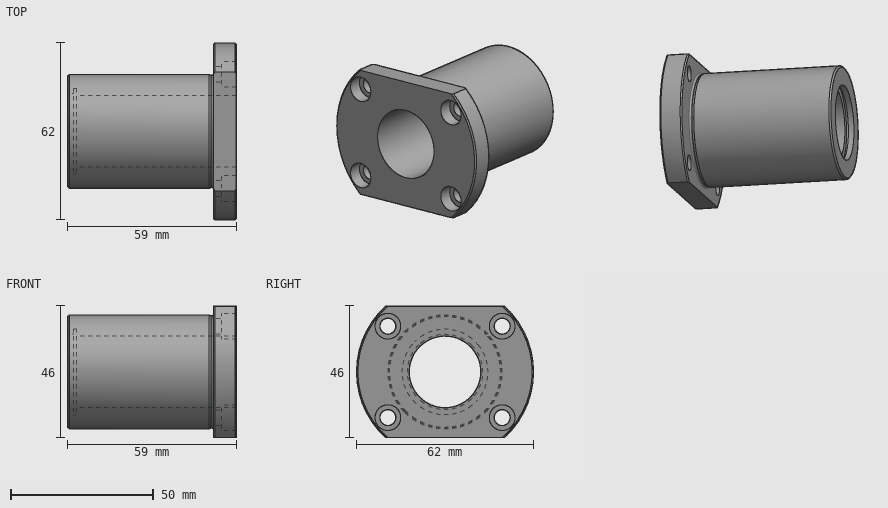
import cadquery as cq

total_length = 59.0
sleeve_diameter = 40.0
flange_diameter = 62.0
flange_thickness = 8.0
flange_height = 46.0
sleeve_chamfer = 0.6
flange_chamfer = 0.5

undercut_width = 1.6
undercut_taper_length = 0.8
undercut_depth = 0.35
undercut_fillet = 0.6

bore_diameter = 25.0
mouth_diameter = 26.4
mouth_depth = 2.0
ring_groove_diameter = 30.0
ring_groove_width = 1.1

hole_diameter = 5.5
counterbore_diameter = 9.0
counterbore_depth = 5.1
hole_spacing_y = 40.0
hole_spacing_z = 32.0

sleeve_radius = sleeve_diameter / 2
flange_radius = flange_diameter / 2
flange_face_x = total_length - flange_thickness


def cylinder_along_x(diameter, start_x, length):
    return cq.Workplane("YZ").workplane(offset=start_x).circle(diameter / 2).extrude(length)


def make_turned_body():
    """Revolve the half profile of the sleeve, undercut and flange about X."""
    taper_start_x = flange_face_x - undercut_width
    taper_end_x = taper_start_x + undercut_taper_length
    floor_end_x = flange_face_x - undercut_fillet
    floor_radius = sleeve_radius - undercut_depth
    fillet_top_radius = floor_radius + undercut_fillet
    return (
        cq.Workplane("XY")
        .moveTo(0, 0)
        .lineTo(0, sleeve_radius - sleeve_chamfer)
        .lineTo(sleeve_chamfer, sleeve_radius)
        .lineTo(taper_start_x, sleeve_radius)
        .lineTo(taper_end_x, floor_radius)
        .lineTo(floor_end_x, floor_radius)
        .radiusArc((flange_face_x, fillet_top_radius), -undercut_fillet)
        .lineTo(flange_face_x, flange_radius - flange_chamfer)
        .lineTo(flange_face_x + flange_chamfer, flange_radius)
        .lineTo(total_length - flange_chamfer, flange_radius)
        .lineTo(total_length, flange_radius - flange_chamfer)
        .lineTo(total_length, 0)
        .close()
        .revolve(360, (0, 0, 0), (1, 0, 0))
    )


def cut_flats(body):
    """Trim the round flange to two flats, above and below the axis."""
    envelope = cq.Workplane("YZ").rect(flange_diameter, flange_height).extrude(total_length)
    return body.intersect(envelope)


def cut_bore(body):
    """Through bore with a ring groove and a wider mouth at the sleeve end."""
    bore = cylinder_along_x(bore_diameter, 0, total_length)
    mouth = cylinder_along_x(mouth_diameter, 0, mouth_depth)
    ring_groove = cylinder_along_x(ring_groove_diameter, mouth_depth, ring_groove_width)
    return body.cut(bore).cut(mouth).cut(ring_groove)


def cut_mounting_holes(body):
    """Four through holes in the flange, counterbored from its back face."""
    return (
        body.copyWorkplane(cq.Workplane("YZ", origin=(total_length, 0, 0)))
        .rarray(hole_spacing_y, hole_spacing_z, 2, 2)
        .cboreHole(hole_diameter, counterbore_diameter, counterbore_depth, flange_thickness)
    )


result = cut_mounting_holes(cut_bore(cut_flats(make_turned_body())))